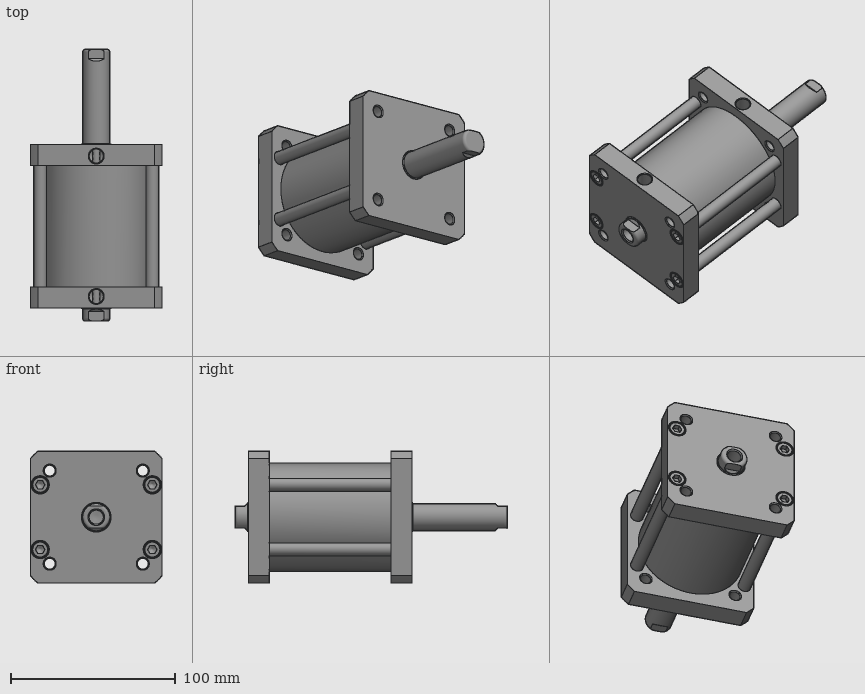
import cadquery as cq
import math

SHAFT_FRONT_REACH = 8.0
SHAFT_LENGTH = 165.0
PLATE_SIZE = 80.0
PLATE_THICKNESS = 12.9
PLATE_CORNER_DIAMETER = 107.0
TUBE_LENGTH = 73.6
TUBE_START = PLATE_THICKNESS
TUBE_END = TUBE_START + TUBE_LENGTH
REAR_FACE = TUBE_END + PLATE_THICKNESS

TUBE_OUTER_DIAMETER = 66.0
TUBE_BORE_DIAMETER = 63.0

SHAFT_DIAMETER = 16.5
SHAFT_END_FILLET = 1.8
FLAT_WIDTH = 13.4
FLAT_LENGTH = 5.8
THREAD_DRILL = 8.5
SHAFT_HOLE_MOUTH = 10.0
SHAFT_HOLE_DEPTH = 16.5
SHAFT_HOLE_POINT_ANGLE = 166.0

LIP_BASE_DIAMETER = 18.0
LIP_TIP_DIAMETER = 16.8
LIP_HEIGHT = 0.5

MOUNTING_OFFSET = 28.2
MOUNTING_HOLE = 6.6
MOUNTING_MOUTH = 8.0

BOLT_X = 34.0
BOLT_Z = 19.6
BOLT_SHANK = 8.0
BOLT_CLEARANCE_HOLE = 8.4
BOLT_HEAD_DIAMETER = 10.0
BOLT_HEAD_LENGTH = 6.0
BOLT_HEAD_CHAMFER = 0.5
BOLT_THREAD_DEPTH = 9.9
HEAD_RECESS_DIAMETER = 10.5
HEAD_RECESS_MOUTH = 11.0
SOCKET_WIDTH = 5.0
SOCKET_DEPTH = 3.0

PORT_FROM_OUTER_FACE = 7.1
PORT_MOUTH = 9.5
PORT_DEPTH = 13.2
CROSS_ROD_DIAMETER = 4.5
CROSS_ROD_Z = 26.7
CROSS_ROD_END_COVER = 1.6

DRILL_POINT_ANGLE = 118.0
CUT_MARGIN = 1.6


def cylinder(diameter, length, point, direction):
    return cq.Workplane(cq.Solid.makeCylinder(diameter / 2, length, cq.Vector(*point), cq.Vector(*direction)))


def cone(base, tip, length, point, direction):
    return cq.Workplane(cq.Solid.makeCone(base / 2, tip / 2, length, cq.Vector(*point), cq.Vector(*direction)))


def rod_along_y(diameter, start, end, x=0.0, z=0.0):
    """Cylinder parallel to Y between two y positions."""
    return cylinder(diameter, end - start, (x, start, z), (0, 1, 0))


def mouth_chamfer(mouth, hole, point, direction):
    """45 degree countersink that narrows from the mouth to the hole diameter."""
    return cone(mouth, hole, (mouth - hole) / 2, point, direction)


def drill_point(diameter, point, direction, angle=DRILL_POINT_ANGLE):
    length = diameter / 2 / math.tan(math.radians(angle / 2))
    return cone(diameter, 0, length, point, direction)


def bolt_places():
    return [(x, z) for x in (-BOLT_X, BOLT_X) for z in (-BOLT_Z, BOLT_Z)]


def make_cross_rod():
    """Slim rod that ends just short of both plates' outer faces."""
    rear_end = REAR_FACE - CROSS_ROD_END_COVER
    return rod_along_y(CROSS_ROD_DIAMETER, CROSS_ROD_END_COVER, rear_end, z=CROSS_ROD_Z)


def plate_blank(start):
    """Square plate with its corners turned down to a common diameter."""
    blank = cq.Workplane("XY").box(PLATE_SIZE, PLATE_THICKNESS, PLATE_SIZE)
    blank = blank.translate((0, start + PLATE_THICKNESS / 2, 0))
    return blank.intersect(rod_along_y(PLATE_CORNER_DIAMETER, start, start + PLATE_THICKNESS))


def shaft_lip(face, outward):
    """Low cone that stands out from a plate's outer face."""
    return cone(LIP_BASE_DIAMETER, LIP_TIP_DIAMETER, LIP_HEIGHT, (0, face, 0), (0, outward, 0))


def cut_mounting_holes(plate, start):
    end = start + PLATE_THICKNESS
    for x in (-MOUNTING_OFFSET, MOUNTING_OFFSET):
        for z in (-MOUNTING_OFFSET, MOUNTING_OFFSET):
            plate = plate.cut(rod_along_y(MOUNTING_HOLE, start, end, x, z))
            plate = plate.cut(mouth_chamfer(MOUNTING_MOUTH, MOUNTING_HOLE, (x, start, z), (0, 1, 0)))
            plate = plate.cut(mouth_chamfer(MOUNTING_MOUTH, MOUNTING_HOLE, (x, end, z), (0, -1, 0)))
    return plate


def cut_port(plate, y):
    """Drilled port in the top edge, with a conical bottom and a chamfered mouth."""
    top = PLATE_SIZE / 2
    down = (0, 0, -1)
    plate = plate.cut(cylinder(THREAD_DRILL, PORT_DEPTH, (0, y, top), down))
    plate = plate.cut(drill_point(THREAD_DRILL, (0, y, top - PORT_DEPTH), down))
    return plate.cut(mouth_chamfer(PORT_MOUTH, THREAD_DRILL, (0, y, top), down))


def make_front_plate():
    plate = cut_mounting_holes(plate_blank(0), 0)
    plate = plate.union(shaft_lip(0, -1))
    plate = plate.cut(rod_along_y(SHAFT_DIAMETER, -LIP_HEIGHT, PLATE_THICKNESS))
    plate = cut_port(plate, PORT_FROM_OUTER_FACE)
    for x, z in bolt_places():
        plate = plate.cut(rod_along_y(BOLT_CLEARANCE_HOLE, 0, PLATE_THICKNESS, x, z))
        plate = plate.cut(rod_along_y(HEAD_RECESS_DIAMETER, 0, BOLT_HEAD_LENGTH, x, z))
        plate = plate.cut(mouth_chamfer(HEAD_RECESS_MOUTH, HEAD_RECESS_DIAMETER, (x, 0, z), (0, 1, 0)))
    return plate.cut(make_cross_rod())


def make_rear_plate():
    plate = cut_mounting_holes(plate_blank(TUBE_END), TUBE_END)
    plate = plate.union(shaft_lip(REAR_FACE, 1))
    plate = plate.cut(rod_along_y(SHAFT_DIAMETER, TUBE_END, REAR_FACE + LIP_HEIGHT))
    plate = cut_port(plate, REAR_FACE - PORT_FROM_OUTER_FACE)
    for x, z in bolt_places():
        plate = plate.cut(rod_along_y(BOLT_SHANK, TUBE_END, TUBE_END + BOLT_THREAD_DEPTH, x, z))
    return plate.cut(make_cross_rod())


def make_tube():
    tube = rod_along_y(TUBE_OUTER_DIAMETER, TUBE_START, TUBE_END)
    return tube.cut(rod_along_y(TUBE_BORE_DIAMETER, TUBE_START, TUBE_END))


def flat_cutter(end, inward):
    """Wedge above the upper flat: flat face from the shaft end, then a 45 degree run-out."""
    half_flat = FLAT_WIDTH / 2
    height = SHAFT_DIAMETER / 2 + CUT_MARGIN - half_flat
    outside = end - inward * CUT_MARGIN
    flat_end = end + inward * FLAT_LENGTH
    outline = [
        (outside, half_flat),
        (flat_end, half_flat),
        (flat_end + inward * height, half_flat + height),
        (outside, half_flat + height),
    ]
    return cq.Workplane("YZ").polyline(outline).close().extrude(SHAFT_DIAMETER / 2, both=True)


def make_shaft():
    front = -SHAFT_FRONT_REACH
    rear = front + SHAFT_LENGTH
    shaft = rod_along_y(SHAFT_DIAMETER, front, rear).edges("%CIRCLE").fillet(SHAFT_END_FILLET)
    for end, inward in ((front, 1), (rear, -1)):
        cutter = flat_cutter(end, inward)
        shaft = shaft.cut(cutter).cut(cutter.mirror("XY"))
    hole_bottom = front + SHAFT_HOLE_DEPTH
    shaft = shaft.cut(rod_along_y(THREAD_DRILL, front, hole_bottom))
    shaft = shaft.cut(drill_point(THREAD_DRILL, (0, hole_bottom, 0), (0, 1, 0), SHAFT_HOLE_POINT_ANGLE))
    return shaft.cut(mouth_chamfer(SHAFT_HOLE_MOUTH, THREAD_DRILL, (0, front, 0), (0, 1, 0)))


def make_tie_bolt(x, z):
    """Socket head bolt, flush with the front plate and screwed into the rear plate."""
    head = rod_along_y(BOLT_HEAD_DIAMETER, 0, BOLT_HEAD_LENGTH).faces("<Y").chamfer(BOLT_HEAD_CHAMFER)
    bolt = head.union(rod_along_y(BOLT_SHANK, BOLT_HEAD_LENGTH, TUBE_END + BOLT_THREAD_DEPTH))
    across_corners = SOCKET_WIDTH / math.cos(math.pi / 6)
    drilled = rod_along_y(across_corners, 0, SOCKET_DEPTH)
    drilled = drilled.union(drill_point(across_corners, (0, SOCKET_DEPTH, 0), (0, 1, 0)))
    hexagon = cq.Workplane("XZ").polygon(6, across_corners).extrude(-BOLT_HEAD_LENGTH)
    return bolt.cut(hexagon.intersect(drilled)).translate((x, 0, z))


front_plate = make_front_plate()
rear_plate = make_rear_plate()
tube = make_tube()
shaft = make_shaft()
cross_rod = make_cross_rod()
tie_bolts = [make_tie_bolt(x, z).val() for x, z in bolt_places()]

result = cq.Compound.makeCompound(
    [front_plate.val(), rear_plate.val(), tube.val(), shaft.val(), cross_rod.val(), *tie_bolts]
)